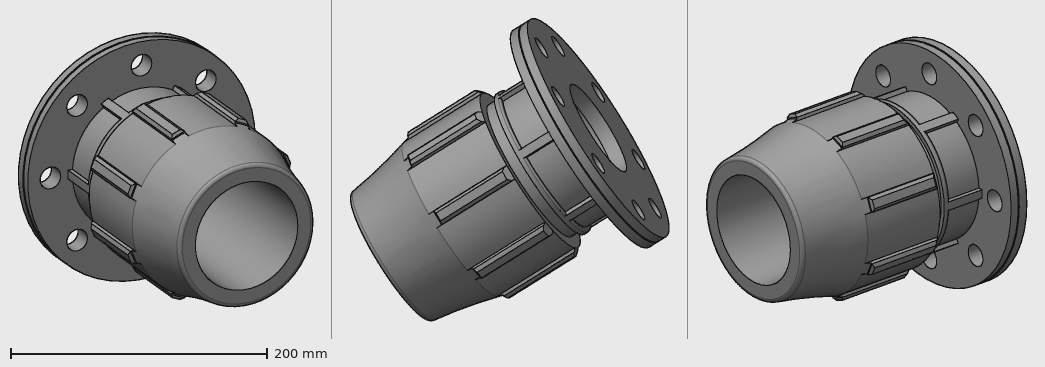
import cadquery as cq

total_length = 194.0

flange_radius = 100.0
flange_thickness = 16.0
flange_groove_width = 0.5
flange_groove_depth = 0.5
bolt_hole_diameter = 18.0
bolt_circle_diameter = 160.0
bolt_hole_count = 8

opening_radius = 40.0
opening_depth = 12.0
socket_radius = 45.0

neck_radius = 60.8
collar_radius = 64.5
collar_start = 48.8
collar_end = 54.5
collar_fillet = 1.8
neck_rib_width = 7.5
neck_rib_count = 6

nut_start = 63.8
panel_radius = 70.8
panel_end = 137.2
nose_start_radius = 72.2
nose_rounding = 3.2
nose_edge_radius = 59.5
nose_sag = 1.2

grip_count = 8
grip_first_angle = 180.0 / grip_count
grip_end = 132.0
grip_shoulder_radius = 73.2
grip_top_radius = 75.8
grip_root_overlap = 2.0
grip_base_width = 12.5
grip_top_width = 7.2
grip_front_slope = 4.5
grip_rear_slope = 1.5


def around_axis(shape, count, first_angle=0.0):
    """Join copies of a shape spread evenly about the X axis."""
    copies = cq.Workplane("XY")
    for index in range(count):
        angle = first_angle + index * 360.0 / count
        copies = copies.add(shape.rotate((0, 0, 0), (1, 0, 0), angle))
    return copies.combine()


def tube(start, end, inner_radius, outer_radius):
    """Hollow cylinder along X."""
    disc = cq.Workplane("YZ").workplane(offset=start).circle(outer_radius)
    return disc.circle(inner_radius).extrude(end - start)


def cylinder(start, end, radius):
    """Solid cylinder along X."""
    return cq.Workplane("YZ").workplane(offset=start).circle(radius).extrude(end - start)


def make_flange():
    middle = flange_thickness / 2
    half_gap = flange_groove_width / 2
    groove_floor = flange_radius - flange_groove_depth
    groove = tube(middle - half_gap, middle + half_gap, groove_floor, 2 * flange_radius)
    holes = (
        cq.Workplane("YZ")
        .polarArray(bolt_circle_diameter / 2, 0, 360, bolt_hole_count)
        .circle(bolt_hole_diameter / 2)
        .extrude(flange_thickness)
    )
    return cylinder(0, flange_thickness, flange_radius).cut(groove).cut(holes)


def make_neck():
    barrel = cylinder(flange_thickness, nut_start, neck_radius)
    collar = cylinder(collar_start, collar_end, collar_radius).faces("<X").edges().fillet(collar_fillet)
    rib = cq.Workplane("XY").box(
        collar_end - flange_thickness, collar_radius, neck_rib_width, centered=(False, False, True)
    )
    ribs = around_axis(rib.translate((flange_thickness, 0, 0)), neck_rib_count)
    ribs = ribs.intersect(cylinder(flange_thickness, collar_end, collar_radius))
    return barrel.union(collar).union(ribs)


def make_nut_body():
    nose_edge_x = total_length - nose_rounding
    mid_nose_x = (grip_end + nose_edge_x) / 2
    mid_nose_radius = (nose_start_radius + nose_edge_radius) / 2 - nose_sag
    body = (
        cq.Workplane("XY")
        .moveTo(nut_start, 0)
        .lineTo(nut_start, panel_radius)
        .lineTo(grip_end, panel_radius)
        .lineTo(grip_end, nose_start_radius)
        .threePointArc((mid_nose_x, mid_nose_radius), (nose_edge_x, nose_edge_radius))
        .radiusArc((total_length, nose_edge_radius - nose_rounding), nose_rounding)
        .lineTo(total_length, 0)
        .close()
        .revolve(360, (0, 0, 0), (1, 0, 0))
    )
    strip = cq.Workplane("XY").box(
        panel_end - grip_end, 2 * nose_start_radius, grip_base_width, centered=(False, False, True)
    )
    strips = around_axis(strip.translate((grip_end, 0, 0)), grip_count, grip_first_angle)
    panels = tube(grip_end, panel_end, panel_radius, 2 * nose_start_radius).cut(strips)
    return body.cut(panels)


def make_grips():
    root_radius = panel_radius - grip_root_overlap
    side = (
        cq.Workplane("XY")
        .moveTo(nut_start, root_radius)
        .lineTo(nut_start, panel_radius)
        .lineTo(nut_start + grip_front_slope, grip_top_radius)
        .lineTo(grip_end - grip_rear_slope, grip_top_radius)
        .lineTo(grip_end, grip_shoulder_radius)
        .lineTo(grip_end, root_radius)
        .close()
        .extrude(grip_base_width, both=True)
    )
    section = (
        cq.Workplane("YZ")
        .workplane(offset=nut_start)
        .moveTo(root_radius, -grip_base_width / 2)
        .lineTo(grip_shoulder_radius, -grip_base_width / 2)
        .lineTo(grip_top_radius, -grip_top_width / 2)
        .lineTo(grip_top_radius, grip_top_width / 2)
        .lineTo(grip_shoulder_radius, grip_base_width / 2)
        .lineTo(root_radius, grip_base_width / 2)
        .close()
        .extrude(grip_end - nut_start)
    )
    return around_axis(side.intersect(section), grip_count, grip_first_angle)


def make_bore():
    opening = cylinder(0, opening_depth, opening_radius)
    return opening.union(cylinder(opening_depth, total_length, socket_radius))


result = make_flange().union(make_neck()).union(make_nut_body()).union(make_grips()).cut(make_bore())